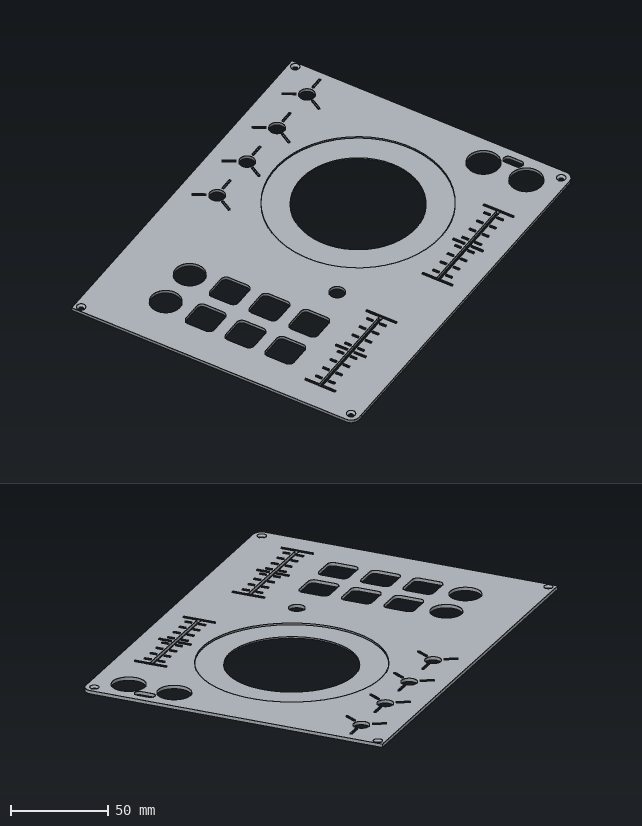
import cadquery as cq

plate_width = 170.0
plate_length = 220
plate_thickness = 2.0
right_corner_radius = 5.0

mark_height = 0.4
mark_width = 1.0

jog_x = plate_width / 2
jog_y = 145.0
jog_opening_diameter = 70.0
jog_recess_diameter = 100.0
jog_recess_depth = 1.0

knob_x = 20.0
knob_top_y = 202.0
knob_pitch = 30.0
knob_count = 4
shaft_hole_diameter = 8.5
knob_mark_start = 5.7
knob_mark_end = 13.0
knob_mark_angles = (90, 210, 330)

encoder_y = 80.7

grid_x = 39.2
grid_y = 29.0
grid_pitch = 24.0
grid_rows = 2
pad_columns = 3
pad_size = 17.0
pad_corner_radius = 3.0

large_hole_diameter = 18.0
large_hole_spacing = 25.7
large_hole_pair_x = 137.5
large_hole_y = 204.4
connector_slot_length = 11.2
connector_slot_width = 4.8
connector_slot_radius = 2.2
connector_slot_y = 212.7

fader_centers = ((150.5, 146.0), (140.4, 45.8))
fader_slot_width = 2.0
fader_slot_length = 60.0
fader_bar_length = 18.0
fader_mark_gap = 1.0
fader_tick_span = 11.5
fader_tick_count = 8
fader_tick_travel = 51.0

screw_hole_diameter = 2.5
screw_head_diameter = 4.8
screw_head_depth = (screw_head_diameter - screw_hole_diameter) / 2
left_screw_inset_x = 4.0
left_screw_inset_y = 3.0
right_screw_inset = 5.0


def through_cylinders(points, diameter):
    """Cutters for round holes through the plate."""
    return cq.Workplane("XY").pushPoints(points).circle(diameter / 2).extrude(plate_thickness)


def through_rectangles(points, width, length, corner_radius):
    """Cutters for rectangular openings with rounded corners."""
    blocks = cq.Workplane("XY").pushPoints(points).rect(width, length).extrude(plate_thickness)
    return blocks.edges("|Z").fillet(corner_radius)


def raised_bar(x, y, width, length):
    """Rectangular mark standing on the top face, centred at (x, y)."""
    top = cq.Workplane("XY").workplane(offset=plate_thickness)
    return top.center(x, y).rect(width, length).extrude(mark_height)


def countersink(x, y):
    """Conical 90 degree cutter that narrows from the screw head to the screw hole."""
    return cq.Workplane("XY").add(
        cq.Solid.makeCone(
            screw_head_diameter / 2,
            screw_hole_diameter / 2,
            screw_head_depth,
            pnt=cq.Vector(x, y, plate_thickness),
            dir=cq.Vector(0, 0, -1),
        )
    )


def knob_marks(x, y):
    """Three radial bars around a knob shaft hole."""
    length = knob_mark_end - knob_mark_start
    middle = (knob_mark_start + knob_mark_end) / 2
    bar = raised_bar(x + middle, y, length, mark_width)
    return [bar.rotate((x, y, 0), (x, y, 1), angle) for angle in knob_mark_angles]


def split_mark(x, y, span):
    """Two bars in line, one on each side of a fader slot."""
    inner = fader_slot_width / 2 + fader_mark_gap
    length = span / 2 - inner
    offset = inner + length / 2
    return [raised_bar(x + side * offset, y, length, mark_width) for side in (-1, 1)]


def fader_marks(x, y):
    """End bars, split centre bar and evenly spaced ticks of one fader."""
    end_offset = (fader_slot_length + mark_width) / 2
    marks = [raised_bar(x, y + side * end_offset, fader_bar_length, mark_width) for side in (-1, 1)]
    marks += split_mark(x, y, fader_bar_length)
    tick_pitch = fader_tick_travel / (fader_tick_count - 1)
    for i in range(fader_tick_count):
        tick_y = y - fader_tick_travel / 2 + i * tick_pitch
        marks += split_mark(x, tick_y, fader_tick_span)
    return marks


plate = cq.Workplane("XY").box(plate_width, plate_length, plate_thickness, centered=False)
plate = plate.edges("|Z and >X").fillet(right_corner_radius)

jog_center = [(jog_x, jog_y)]
recess_floor = cq.Workplane("XY").workplane(offset=plate_thickness - jog_recess_depth)
jog_recess = recess_floor.pushPoints(jog_center).circle(jog_recess_diameter / 2).extrude(jog_recess_depth)
plate = plate.cut(jog_recess)
plate = plate.cut(through_cylinders(jog_center, jog_opening_diameter))

encoder_x = grid_x + pad_columns * grid_pitch
knob_points = [(knob_x, knob_top_y - i * knob_pitch) for i in range(knob_count)]
plate = plate.cut(through_cylinders(knob_points + [(encoder_x, encoder_y)], shaft_hole_diameter))

row_ys = [grid_y + row * grid_pitch for row in range(grid_rows)]
button_points = [(grid_x, y) for y in row_ys]
pad_points = [(grid_x + column * grid_pitch, y) for column in range(1, pad_columns + 1) for y in row_ys]
plate = plate.cut(through_cylinders(button_points, pad_size))
plate = plate.cut(through_rectangles(pad_points, pad_size, pad_size, pad_corner_radius))

large_hole_points = [(large_hole_pair_x + side * large_hole_spacing / 2, large_hole_y) for side in (-1, 1)]
slot_point = [(large_hole_pair_x, connector_slot_y)]
plate = plate.cut(through_cylinders(large_hole_points, large_hole_diameter))
plate = plate.cut(
    through_rectangles(slot_point, connector_slot_length, connector_slot_width, connector_slot_radius)
)

fader_slots = cq.Workplane("XY").pushPoints(fader_centers)
plate = plate.cut(fader_slots.rect(fader_slot_width, fader_slot_length).extrude(plate_thickness))

right_screw_x = plate_width - right_screw_inset
screw_points = [
    (left_screw_inset_x, left_screw_inset_y),
    (left_screw_inset_x, plate_length - left_screw_inset_y),
    (right_screw_x, right_screw_inset),
    (right_screw_x, plate_length - right_screw_inset),
]
plate = plate.cut(through_cylinders(screw_points, screw_hole_diameter))
for screw_point in screw_points:
    plate = plate.cut(countersink(*screw_point))

marks = []
for knob_point in knob_points:
    marks += knob_marks(*knob_point)
for fader_center in fader_centers:
    marks += fader_marks(*fader_center)
for mark in marks:
    plate = plate.union(mark)

result = plate